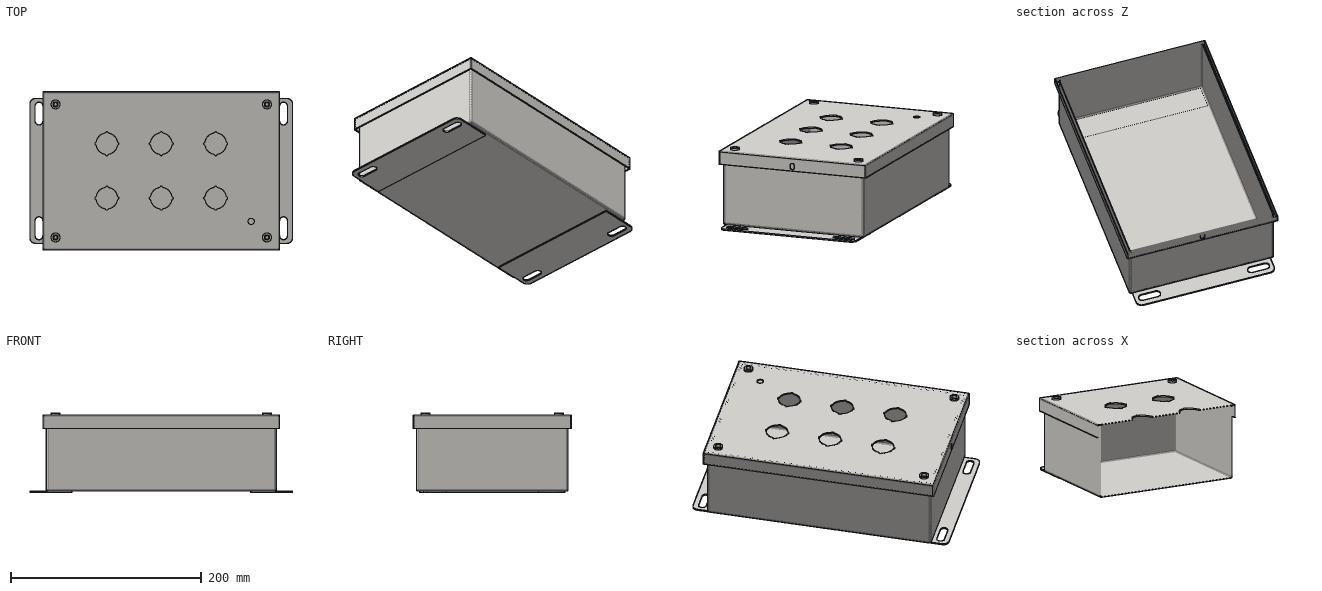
import cadquery as cq

overall_length = 276.2
overall_height = 83.5
sheet = 1.25

flange_thickness = 1.52
flange_width = 44.2
flange_depth = 152.5
flange_corner_radius = 6.0
slot_length = 23.8
slot_width = 8.0
slot_edge_distance = 9.7
slot_spacing = 120.5

lid_length = 249.0
lid_depth = 166.5
lid_height = 14.5
lid_radius = sheet
screw_head_height = 1.8
lid_top = overall_height - screw_head_height
lid_bottom = lid_top - lid_height

box_inset = 3.5
box_length = lid_length - 2 * box_inset
box_depth = lid_depth - 2 * box_inset
box_top = lid_top - sheet
box_height = box_top - flange_thickness
box_radius = 2.0

button_pitch = 57.2
button_columns = 3
button_rows = 2
button_diameter = 22.7
notch_diagonal = 26.2
notch_tip_radius = 1.0

stud_diameter = 6.5
stud_x = 94.5
stud_y = -53.0
stud_recess = 0.41

screw_spacing_x = 222.0
screw_spacing_y = 139.8
head_diameter = 9.5
socket_top_diameter = 5.5
socket_floor_diameter = 4.0
socket_depth = 2.5

rim_slot_height = 6.5
rim_slot_width = 5.0
rim_slot_above_edge = 5.0


def rounded_block(length, depth, height, radius, rounded_face):
    """Block on Z = 0 with its upright edges and the edges of one face ("<Z" or ">Z") rounded."""
    block = cq.Workplane("XY").box(length, depth, height, centered=(True, True, False))
    if radius > 0:
        block = block.edges("|Z").fillet(radius).faces(rounded_face).edges().fillet(radius)
    return block


def open_tray(length, depth, height, outer_radius, closed_face):
    """Thin-walled tray standing on Z = 0, closed on one face ("<Z" or ">Z")."""
    outside = rounded_block(length, depth, height, outer_radius, closed_face)
    inside = rounded_block(
        length - 2 * sheet, depth - 2 * sheet, height - sheet, outer_radius - sheet, closed_face
    )
    floor_offset = sheet if closed_face == "<Z" else 0
    return outside.cut(inside.translate((0, 0, floor_offset)))


def make_flange(side):
    """Slotted mounting plate; side is -1 for the -X end and +1 for the +X end."""
    outer_edge = side * overall_length / 2
    outer_face = "<X" if side < 0 else ">X"
    slots = (
        cq.Workplane("XY")
        .center(outer_edge - side * slot_edge_distance, 0)
        .rarray(2.8, slot_spacing, 1, 2)
        .slot2D(slot_length, slot_width, 90)
        .extrude(flange_thickness)
    )
    return (
        cq.Workplane("XY")
        .center(outer_edge - side * flange_width / 2, 0)
        .rect(flange_width, flange_depth)
        .extrude(flange_thickness)
        .faces(outer_face)
        .edges("|Z")
        .fillet(flange_corner_radius)
        .cut(slots)
    )


def make_box():
    """Open-topped box with its two welded mounting flanges."""
    tray = open_tray(box_length, box_depth, box_height, box_radius, "<Z")
    tray = tray.translate((0, 0, flange_thickness))
    for side in (-1, 1):
        tray = tray.union(make_flange(side))
    return tray


def button_cutters():
    """Grid of notched round punches through the lid sheet."""
    top_sheet = cq.Workplane("XY").workplane(offset=box_top)
    notches = top_sheet.polygon(4, notch_diagonal).extrude(sheet).edges("|Z").fillet(notch_tip_radius)
    punch = top_sheet.circle(button_diameter / 2).extrude(sheet).union(notches).val()
    return (
        cq.Workplane("XY")
        .rarray(button_pitch, button_pitch, button_columns, button_rows)
        .eachpoint(lambda place: punch.moved(place))
    )


def stud_cylinder(height):
    """Cylinder on the stud axis, rising from the lid's underside."""
    return cq.Workplane("XY", origin=(stud_x, stud_y, box_top)).circle(stud_diameter / 2).extrude(height)


def rim_slot_cutter():
    """Upright slot through the lid's -X rim."""
    slot_origin = (-lid_length / 2, 0, lid_bottom + rim_slot_above_edge)
    return (
        cq.Workplane("YZ", origin=slot_origin)
        .slot2D(rim_slot_height, rim_slot_width, 90)
        .extrude(sheet)
    )


def screw_corners(base_height):
    """Workplane at the given height with a point on each of the four screw axes."""
    return (
        cq.Workplane("XY")
        .workplane(offset=base_height)
        .rarray(screw_spacing_x, screw_spacing_y, 2, 2)
    )


def screw_sockets():
    """Tapered blind sockets, one per screw head."""
    floor_height = overall_height - socket_depth
    socket = cq.Solid.makeCone(socket_floor_diameter / 2, socket_top_diameter / 2, socket_depth)
    return screw_corners(floor_height).eachpoint(lambda place: socket.moved(place))


def make_lid():
    """Lid with button openings, stud hole, rim slot and corner screw heads."""
    tray = open_tray(lid_length, lid_depth, lid_height, lid_radius, ">Z")
    tray = tray.translate((0, 0, lid_bottom))
    heads = screw_corners(lid_top).circle(head_diameter / 2).extrude(screw_head_height)
    return (
        tray.union(heads)
        .cut(screw_sockets())
        .cut(button_cutters())
        .cut(stud_cylinder(sheet))
        .cut(rim_slot_cutter())
    )


def make_stud():
    """Stud pressed into its hole in the lid sheet."""
    return stud_cylinder(sheet - stud_recess)


box = make_box()
lid = make_lid()
stud = make_stud()

result = cq.Compound.makeCompound([box.val(), lid.val(), stud.val()])